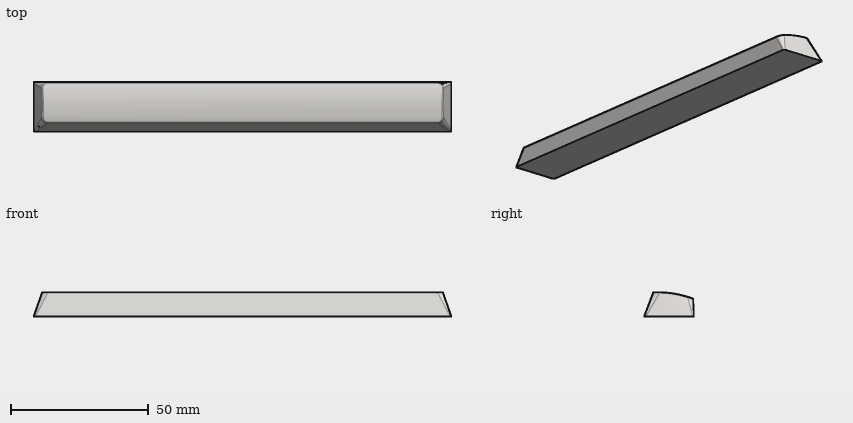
import cadquery as cq
import math

length = 151.45
width = 18.1
height = 8.92
base_corner_radius = 0.5

end_inset = 3.0
front_inset = 3.35
back_inset = 0.3
top_corner_radius = 2.4

crown_radius = 36.0
crest_from_back = 13.2
top_edge_radius = 0.45

trim_allowance = 1.5

front_y = -width / 2
back_y = width / 2
crest_y = back_y - crest_from_back


def crown_height(y):
    """Height of the convex top at a given Y."""
    drop = crown_radius - math.sqrt(crown_radius**2 - (y - crest_y) ** 2)
    return height - drop


def make_blank():
    """Loft from the flat base to a top outline that slopes down to the back."""
    taper_growth = (height + trim_allowance) / height
    front_rim_y = front_y + front_inset * taper_growth
    back_rim_y = back_y - back_inset
    front_rim_z = crown_height(front_rim_y) + trim_allowance
    back_rim_z = crown_height(back_rim_y) + trim_allowance
    rim_depth = math.hypot(back_rim_y - front_rim_y, front_rim_z - back_rim_z)
    rim_length = length - 2 * end_inset * taper_growth
    rim_plane = cq.Plane(
        origin=(0, (front_rim_y + back_rim_y) / 2, (front_rim_z + back_rim_z) / 2),
        xDir=(1, 0, 0),
        normal=(0, front_rim_z - back_rim_z, back_rim_y - front_rim_y),
    )
    base = cq.Sketch().rect(length, width).vertices().fillet(base_corner_radius)
    rim = cq.Sketch().rect(rim_length, rim_depth).vertices().fillet(top_corner_radius)
    base_face = cq.Workplane("XY").placeSketch(base, rim.moved(rim_plane.location))
    return base_face.loft(ruled=True)


def make_crown_envelope():
    """Prism along X whose upper side is the crown arc."""
    front_limit = (front_y, crown_height(front_y))
    back_limit = (back_y, crown_height(back_y))
    return (
        cq.Workplane("YZ")
        .moveTo(front_y, 0)
        .lineTo(*front_limit)
        .threePointArc((crest_y, height), back_limit)
        .lineTo(back_y, 0)
        .close()
        .extrude(length / 2, both=True)
    )


body = make_blank().intersect(make_crown_envelope())
crown_face = body.faces(">Z")
result = crown_face.edges().fillet(top_edge_radius)